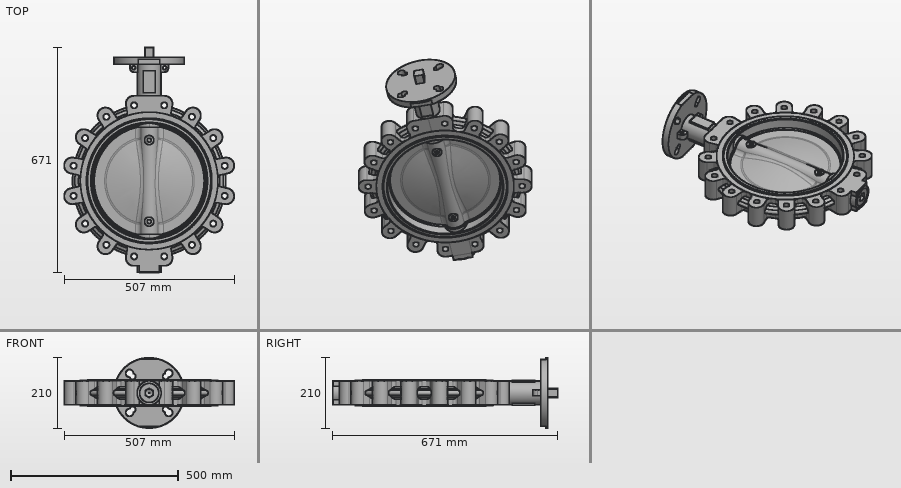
import cadquery as cq
import math


ring_radius = 410.0 / 2
ring_height = 75.0
liner_outer_radius = 367.0 / 2
liner_pocket_radius = 370.0 / 2
liner_pocket_depth = 4.0
liner_pocket_chamfer = 2.35
liner_height = 79.0
liner_mouth_radius = 174.5
liner_mouth_chamfer = 3.0
seat_radius = 164.0
seat_half_height = 5.5
seat_lead_radius = 167.0
seat_lead_half_height = 9.5

lug_count = 16
lug_pitch = 360 / lug_count
lug_thickness = 72.0
lug_radius = 24.0
lug_reach = 253.5
lug_center_radius = (lug_reach - lug_radius) / math.cos(math.radians(lug_pitch / 2))
lug_root_fillet = 11.0
bolt_circle_radius = 229.5
bolt_hole_diameter = 17.5

rib_radius = 229.0
rib_nose_radius = 7.5
rib_shoulder_radius = rib_radius - rib_nose_radius
rib_root_radius = 211.0
rib_root_half_height = 13.0
rib_base_half_height = 19.0

disc_thickness = 7.0
dome_radius = 129.0
dome_rim_radius = 133.5
dome_rim_rise = 1.0
dome_top = 20.0
hub_diameter = 57.0
hub_half_length = 162.5
hub_fillet = 18.0
hub_seat_diameter = 70.0
hub_seat_start = 160.0
pin_offset = 121.5
pin_diameter = 27.5
pin_top = 29.5
pin_socket_diameter = 12.0
pin_socket_depth = 7.0

neck_diameter = 72.0
flange_diameter = 210.0
flange_thickness = 21.5
flange_outer_face = 368.5
flange_inner_face = flange_outer_face - flange_thickness
bolt_slot_angle = math.radians(45)
large_bolt_circle_radius = 82.5
large_bolt_hole_diameter = 22.0
small_bolt_circle_radius = 70.0
small_bolt_hole_diameter = 17.5
rim_flat_half_height = 100.0
rim_flat_length = 15.5
shaft_square = 27.5
shaft_end = 398.0
shaft_edge_chamfer = 2.0

nameplate_width = 35.0
nameplate_start = 263.0
nameplate_end = 329.0
nameplate_height = 74.5

ear_span = 115.5
ear_length = 23.5
ear_thickness = 18.0
ear_corner_radius = 13.5
ear_hole_diameter = 10.0
ear_hole_spacing = 92.0
ear_hole_drop = 10.0

trunnion_diameter = 72.0
trunnion_end = 272.5
trunnion_block_width = 59.0
trunnion_block_end = 270.5
cap_diameter = 57.0
cap_end = 273.0
socket_sides = 6
socket_corner_diameter = 27.5
socket_depth = 13.5
socket_tip_depth = 7.0


def cylinder_along_y(diameter, start, end, x=0, z=0):
    """Cylinder parallel to Y between two Y positions."""
    direction = cq.Vector(0, 1, 0)
    return cq.Workplane(cq.Solid.makeCylinder(diameter / 2, end - start, cq.Vector(x, start, z), direction))


def box_along_y(width, height, start, end):
    """Box centred on the shaft axis between two Y positions."""
    return cq.Workplane("XY").box(width, end - start, height).translate((0, (start + end) / 2, 0))


def both_faces(shape):
    """Shape together with its mirror image below the mid plane."""
    return shape.union(shape.mirror("XY"))


def revolve_about_z(profile):
    """Solid of revolution about Z from a closed profile of (radius, height)."""
    return profile.close().revolve(360, (0, 0, 0), (0, 1, 0))


def make_lug_body():
    """Ring with sixteen lugs, the pairs on the shaft axis joined into pads."""
    body = cq.Workplane("XY").circle(ring_radius).extrude(lug_thickness / 2, both=True)
    arm = (
        cq.Workplane("XY")
        .rect(lug_center_radius, 2 * lug_radius)
        .extrude(lug_thickness / 2, both=True)
        .translate((lug_center_radius / 2, 0, 0))
    )
    head = cq.Workplane("XY").circle(lug_radius).extrude(lug_thickness / 2, both=True)
    lug = arm.union(head.translate((lug_center_radius, 0, 0)))
    for i in range(lug_count):
        body = body.union(lug.rotate((0, 0, 0), (0, 0, 1), (i + 0.5) * lug_pitch))

    pad_width = 2 * lug_center_radius * math.sin(math.radians(lug_pitch / 2))
    body = body.union(box_along_y(pad_width, lug_thickness, -lug_reach, lug_reach))

    root_zone = cq.selectors.BoxSelector(
        (-ring_radius, -ring_radius, -lug_thickness), (ring_radius, ring_radius, lug_thickness)
    )
    body = body.edges("|Z").edges(root_zone).fillet(lug_root_fillet)
    raised_ring = cq.Workplane("XY").circle(ring_radius).extrude(ring_height / 2, both=True)
    return body.union(raised_ring)


def make_rib():
    """Round-nosed rib with a flared foot that runs round the ring between the lugs."""
    upper = [
        (liner_outer_radius, rib_base_half_height),
        (ring_radius, rib_base_half_height),
        (rib_root_radius, rib_root_half_height),
        (rib_shoulder_radius, rib_nose_radius),
    ]
    lower = [(radius, -height) for radius, height in reversed(upper)]
    profile = (
        cq.Workplane("XZ")
        .polyline(upper)
        .threePointArc((rib_radius, 0), lower[0])
        .polyline(lower)
    )
    return revolve_about_z(profile)


def make_liner_pocket():
    """Chamfered recess in the ring face around the liner edge."""
    face = ring_height / 2
    profile = cq.Workplane("XZ").polyline([
        (0, face),
        (liner_pocket_radius + liner_pocket_chamfer, face),
        (liner_pocket_radius, face - liner_pocket_chamfer),
        (liner_pocket_radius, face - liner_pocket_depth),
        (0, face - liner_pocket_depth),
    ])
    return both_faces(revolve_about_z(profile))


def make_bore():
    """Flow passage that tapers through a short lead-in to the seat at the mid plane."""
    face = liner_height / 2
    upper = [
        (seat_radius, seat_half_height),
        (seat_lead_radius, seat_lead_half_height),
        (liner_mouth_radius - liner_mouth_chamfer, face - liner_mouth_chamfer),
        (liner_mouth_radius, face),
    ]
    lower = [(radius, -height) for radius, height in reversed(upper)]
    return revolve_about_z(cq.Workplane("XZ").polyline([(0, -face)] + lower + upper + [(0, face)]))


def make_disc():
    """Closed disc with shallow domes, blended into the hub tube."""
    face = disc_thickness / 2
    rim = face + dome_rim_rise
    sphere_radius = (dome_radius**2 + (dome_top - rim) ** 2) / (2 * (dome_top - rim))
    mid_radius = dome_radius / 2
    mid_height = dome_top - sphere_radius + math.sqrt(sphere_radius**2 - mid_radius**2)
    profile = (
        cq.Workplane("XZ")
        .moveTo(0, 0)
        .lineTo(seat_radius, 0)
        .lineTo(seat_radius, face)
        .lineTo(dome_rim_radius, face)
        .lineTo(dome_radius, rim)
        .threePointArc((mid_radius, mid_height), (0, dome_top))
    )
    half_disc = revolve_about_z(profile)
    hub = cylinder_along_y(hub_diameter, -hub_half_length, hub_half_length)
    upper_half = cq.Workplane("XY").circle(ring_radius).extrude(hub_diameter)
    half = half_disc.union(hub.intersect(upper_half))
    hub_zone = cq.selectors.BoxSelector(
        (-hub_diameter / 2, -hub_seat_start, face / 2),
        (hub_diameter / 2, hub_seat_start, dome_top),
    )
    half = half.edges(hub_zone).fillet(hub_fillet)
    return both_faces(half)


def make_hub_seats():
    """Bosses in the bore that meet the two ends of the hub tube."""
    seat = cylinder_along_y(hub_seat_diameter, hub_seat_start, ring_radius)
    return seat.union(seat.mirror("XZ"))


def add_hub_pins(valve):
    """Two socketed pins through the hub tube."""
    for y in (-pin_offset, pin_offset):
        pin = cq.Workplane("XY").circle(pin_diameter / 2).extrude(pin_top, both=True)
        socket = (
            cq.Workplane("XY")
            .workplane(offset=pin_top - pin_socket_depth)
            .circle(pin_socket_diameter / 2)
            .extrude(pin_socket_depth)
        )
        valve = valve.union(pin.translate((0, y, 0)))
        valve = valve.cut(both_faces(socket).translate((0, y, 0)))
    return valve


def make_bolt_holes():
    """Bolt holes through all the lugs."""
    return (
        cq.Workplane("XY")
        .polarArray(bolt_circle_radius, lug_pitch / 2, 360, lug_count)
        .circle(bolt_hole_diameter / 2)
        .extrude(lug_thickness, both=True)
    )


def make_flange():
    """Round actuator flange with keyhole bolt slots and two flats on the rim."""
    flange = cylinder_along_y(flange_diameter, flange_inner_face, flange_outer_face)
    patterns = (
        (large_bolt_circle_radius, large_bolt_hole_diameter),
        (small_bolt_circle_radius, small_bolt_hole_diameter),
    )
    for radius, diameter in patterns:
        offset_x = radius * math.cos(bolt_slot_angle)
        offset_z = radius * math.sin(bolt_slot_angle)
        for x in (-offset_x, offset_x):
            for z in (-offset_z, offset_z):
                flange = flange.cut(cylinder_along_y(diameter, flange_inner_face, flange_outer_face, x, z))

    flat_end = flange_inner_face + rim_flat_length
    rim = box_along_y(flange_diameter, flange_diameter, flange_inner_face, flat_end)
    kept = box_along_y(flange_diameter, 2 * rim_flat_half_height, flange_inner_face, flat_end)
    return flange.cut(rim.cut(kept))


def make_ears():
    """Plate with two drilled ears under the flange."""
    start = flange_inner_face - ear_length
    ears = box_along_y(ear_span, ear_thickness, start, flange_inner_face)
    ears = ears.edges("|Z and <Y").fillet(ear_corner_radius)
    hole = cq.Workplane("XY").circle(ear_hole_diameter / 2).extrude(ear_thickness, both=True)
    for x in (-ear_hole_spacing / 2, ear_hole_spacing / 2):
        ears = ears.cut(hole.translate((x, flange_inner_face - ear_hole_drop, 0)))
    return ears


def make_neck():
    """Neck tube with nameplates, ears, flange and the square shaft end."""
    neck = cylinder_along_y(neck_diameter, ring_radius, flange_inner_face)
    nameplate = box_along_y(nameplate_width, nameplate_height, nameplate_start, nameplate_end)
    shaft = box_along_y(shaft_square, shaft_square, flange_inner_face, shaft_end)
    shaft = shaft.edges("|Y").chamfer(shaft_edge_chamfer)
    return neck.union(nameplate).union(make_ears()).union(make_flange()).union(shaft)


def make_trunnion():
    """Lower trunnion with side block, cap disc and a hexagon socket with a conical bottom."""
    trunnion = cylinder_along_y(trunnion_diameter, -trunnion_end, -ring_radius)
    block = box_along_y(trunnion_block_width, lug_thickness, -trunnion_block_end, -ring_radius)
    cap = cylinder_along_y(cap_diameter, -cap_end, -ring_radius)
    socket = (
        cq.Workplane("XZ", origin=(0, -cap_end + socket_depth, 0))
        .transformed(rotate=(0, 0, 90))
        .polygon(socket_sides, socket_corner_diameter)
        .extrude(socket_depth)
    )
    flat_radius = socket_corner_diameter / 2 * math.cos(math.pi / socket_sides)
    tip_base = cq.Vector(0, -cap_end + socket_depth, 0)
    tip = cq.Solid.makeCone(flat_radius, 0, socket_tip_depth, tip_base, cq.Vector(0, 1, 0))
    return trunnion.union(block).union(cap).cut(socket).cut(cq.Workplane(tip))


body = make_lug_body().union(make_rib()).cut(make_liner_pocket())
liner = cq.Workplane("XY").circle(liner_outer_radius).extrude(liner_height / 2, both=True)
body = body.union(liner).cut(make_bore()).union(make_hub_seats())
body = body.cut(make_bolt_holes())
valve = body.union(make_disc()).union(make_neck()).union(make_trunnion())
result = add_hub_pins(valve)